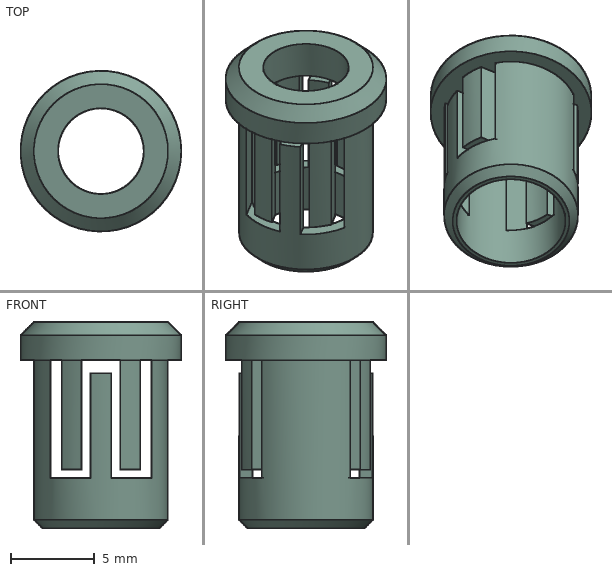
import cadquery as cq

total_height = 12.3
flange_radius = 4.8
body_radius = 4.0
head_bore_radius = 2.55
body_bore_radius = 3.25
flange_bottom = 10.02
flange_chamfer = flange_radius - body_radius
foot_chamfer = 0.52

window_width = 6.0
window_bottom = 3.01
center_finger_width = 1.25
center_finger_top = 9.25
hanging_finger_width = 1.2
hanging_finger_offset = 1.75
hanging_finger_bottom = 3.5


def make_sleeve():
    """Flanged sleeve with a narrower bore through the head."""
    profile = [
        (body_bore_radius, 0),
        (body_radius - foot_chamfer, 0),
        (body_radius, foot_chamfer),
        (body_radius, flange_bottom),
        (flange_radius, flange_bottom),
        (flange_radius, total_height - flange_chamfer),
        (flange_radius - flange_chamfer, total_height),
        (head_bore_radius, total_height),
        (head_bore_radius, flange_bottom),
        (body_bore_radius, flange_bottom),
    ]
    return cq.Workplane("XZ").polyline(profile).close().revolve(360, (0, 0, 0), (0, 1, 0))


def cross_bar(center_x, width, bottom, top):
    """Block spanning the full sleeve along Y."""
    return (
        cq.Workplane("XY", origin=(center_x, 0, bottom))
        .rect(width, 2 * flange_radius)
        .extrude(top - bottom)
    )


def make_finger_gaps():
    """Window through both walls, less the material of the fingers."""
    gaps = cross_bar(0, window_width, window_bottom, flange_bottom)
    gaps = gaps.cut(cross_bar(0, center_finger_width, window_bottom, center_finger_top))
    for side in (-1, 1):
        finger = cross_bar(
            side * hanging_finger_offset, hanging_finger_width, hanging_finger_bottom, flange_bottom
        )
        gaps = gaps.cut(finger)
    return gaps


result = make_sleeve().cut(make_finger_gaps())